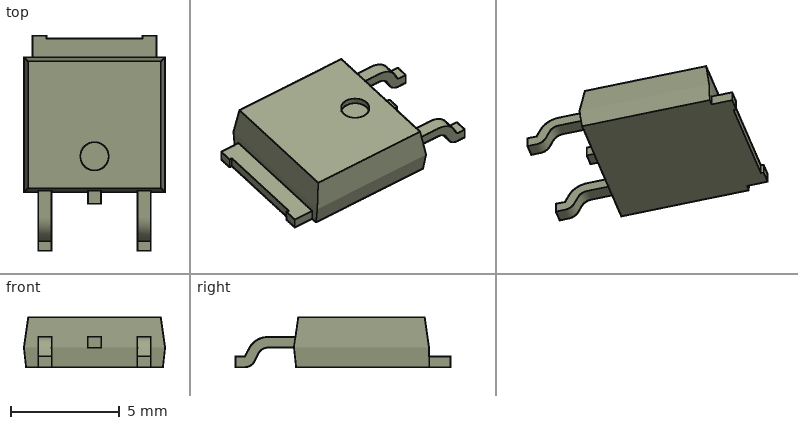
import cadquery as cq
import math

BODY_WIDTH = 6.5
BODY_LENGTH = 6.22
BODY_HEIGHT = 2.3
PARTING_HEIGHT = 0.9
TOP_INSET = 0.2
BOTTOM_INSET = 0.1

RECESS_DIAMETER = 1.3
RECESS_FROM_FRONT = 1.66
RECESS_DEPTH = 0.3

TAB_WIDTH = 5.7
TAB_REACH = 0.99
TAB_THICKNESS = 0.5
TAB_NOTCH_WIDTH = 4.4
TAB_NOTCH_DEPTH = 0.13

LEAD_WIDTH = 0.62
LEAD_THICKNESS = 0.5
LEAD_SPACING = 4.57
LEAD_REACH = 2.69
FOOT_LENGTH = 0.44
LEAD_SLOPE = math.radians(63)
SHOULDER_RADIUS = 1.0
CENTRE_LEAD_REACH = 0.53
EMBED = 0.5

FRONT_Y = -BODY_LENGTH / 2
BACK_Y = BODY_LENGTH / 2
LEAD_TOP = PARTING_HEIGHT + LEAD_THICKNESS


def frustum(lower, upper):
    """Solid between two rectangles, each given as (half width, front Y, back Y, Z)."""
    outlines = []
    for half_width, front_y, back_y, z in (lower, upper):
        corners = [
            cq.Vector(-half_width, front_y, z),
            cq.Vector(half_width, front_y, z),
            cq.Vector(half_width, back_y, z),
            cq.Vector(-half_width, back_y, z),
        ]
        outlines.append(cq.Wire.makePolygon(corners, close=True))
    return cq.Workplane("XY").add(cq.Solid.makeLoft(outlines, True))


def make_body():
    half_width = BODY_WIDTH / 2
    underside = (half_width - BOTTOM_INSET, FRONT_Y + BOTTOM_INSET, BACK_Y, 0)
    parting = (half_width, FRONT_Y, BACK_Y, PARTING_HEIGHT)
    top = (half_width - TOP_INSET, FRONT_Y + TOP_INSET, BACK_Y - TOP_INSET, BODY_HEIGHT)
    return frustum(underside, parting).union(frustum(parting, top))


def make_recess():
    return (
        cq.Workplane("XY", origin=(0, FRONT_Y + RECESS_FROM_FRONT, BODY_HEIGHT - RECESS_DEPTH))
        .circle(RECESS_DIAMETER / 2)
        .extrude(RECESS_DEPTH)
    )


def block(width, y_min, y_max, z_min, thickness):
    """Rectangular block centred on X = 0."""
    return (
        cq.Workplane("XY", origin=(0, (y_min + y_max) / 2, z_min))
        .rect(width, y_max - y_min)
        .extrude(thickness)
    )


def make_tab():
    end_y = BACK_Y + TAB_REACH
    plate = block(TAB_WIDTH, BACK_Y - EMBED, end_y, 0, TAB_THICKNESS)
    notch = block(TAB_NOTCH_WIDTH, end_y - TAB_NOTCH_DEPTH, end_y, 0, TAB_THICKNESS)
    return plate.cut(notch)


def make_formed_lead(center_x):
    """Gull-wing lead: flat shoulder, rounded bend, slope and a foot resting on Z = 0."""
    tip_y = FRONT_Y - LEAD_REACH
    heel_y = tip_y + FOOT_LENGTH
    shoulder_drop = SHOULDER_RADIUS * (1 - math.cos(LEAD_SLOPE))
    slope_drop = LEAD_TOP - LEAD_THICKNESS - shoulder_drop
    slope_run = slope_drop / math.tan(LEAD_SLOPE)
    bend_y = heel_y + slope_run + SHOULDER_RADIUS * math.sin(LEAD_SLOPE)
    shoulder_center = (bend_y, LEAD_TOP - SHOULDER_RADIUS)
    heel_center = (heel_y, LEAD_THICKNESS)
    inner_radius = SHOULDER_RADIUS - LEAD_THICKNESS

    def shoulder_point(radius, angle):
        """Point on the upper bend, at an angle turned from straight up towards the tip."""
        return (
            shoulder_center[0] - radius * math.sin(angle),
            shoulder_center[1] + radius * math.cos(angle),
        )

    def heel_point(angle):
        """Point on the lower bend, at an angle turned from straight down towards the body."""
        return (
            heel_center[0] + LEAD_THICKNESS * math.sin(angle),
            heel_center[1] - LEAD_THICKNESS * math.cos(angle),
        )

    half_slope = LEAD_SLOPE / 2
    root_y = FRONT_Y + EMBED
    return (
        cq.Workplane("YZ", origin=(center_x - LEAD_WIDTH / 2, 0, 0))
        .moveTo(root_y, LEAD_TOP)
        .lineTo(bend_y, LEAD_TOP)
        .threePointArc(
            shoulder_point(SHOULDER_RADIUS, half_slope),
            shoulder_point(SHOULDER_RADIUS, LEAD_SLOPE),
        )
        .lineTo(*heel_center)
        .lineTo(tip_y, LEAD_THICKNESS)
        .lineTo(tip_y, 0)
        .lineTo(heel_y, 0)
        .threePointArc(heel_point(half_slope), heel_point(LEAD_SLOPE))
        .lineTo(*shoulder_point(inner_radius, LEAD_SLOPE))
        .threePointArc(shoulder_point(inner_radius, half_slope), (bend_y, PARTING_HEIGHT))
        .lineTo(root_y, PARTING_HEIGHT)
        .close()
        .extrude(LEAD_WIDTH)
    )


def make_centre_lead():
    return block(
        LEAD_WIDTH, FRONT_Y - CENTRE_LEAD_REACH, FRONT_Y + EMBED, PARTING_HEIGHT, LEAD_THICKNESS
    )


result = make_body().cut(make_recess()).union(make_tab()).union(make_centre_lead())
for side in (-1, 1):
    result = result.union(make_formed_lead(side * LEAD_SPACING / 2))